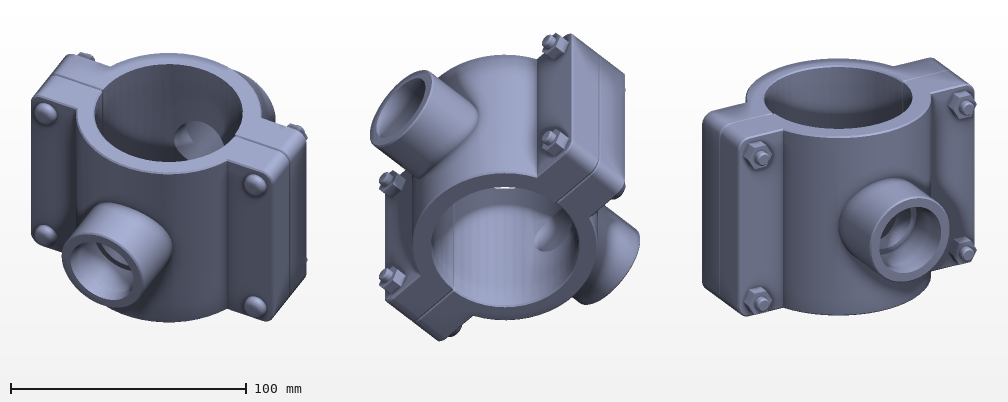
import cadquery as cq
import math

width = 116.0
length = 122.0
height = 84.0
edge_chamfer = 0.6
tolerance = 0.01

bore_radius = 31.5
barrel_radius = 39.4
mid_wall_radius = (bore_radius + barrel_radius) / 2
flange_thickness = 15.7
flange_corner_radius = 5.5

branch_radius = 39.4 / 2
port_radius = 25.0 / 2
socket_radius = 30.3 / 2
socket_floor_y = 40.0

ring_inset = 0.6
ring_inner_y = bore_radius + ring_inset
ring_outer_y = 37.2
ring_radius = socket_radius

bolt_x = 50.1
bolt_z = 34.2
head_radius = 10.0 / 2
head_height = 4.0
head_rounding = 3.0
nut_across_flats = 10.0
nut_across_corners = nut_across_flats / math.cos(math.pi / 6)
nut_height = 5.0
shank_radius = 6.0 / 2
shank_projection = 3.0

bolt_places = [(x, z) for x in (-bolt_x, bolt_x) for z in (-bolt_z, bolt_z)]


def cylinder_along_y(radius, start_y, end_y, x=0, z=0):
    """Cylinder parallel to Y between two Y positions."""
    solid = cq.Solid.makeCylinder(radius, end_y - start_y, cq.Vector(x, start_y, z), cq.Vector(0, 1, 0))
    return cq.Workplane(solid)


def cylinder_along_z(radius):
    """Full-height cylinder on the clamp axis."""
    return cq.Workplane("XY").circle(radius).extrude(height / 2, both=True)


def half_shell():
    """Half barrel with its two flanges on the +Y side of the parting plane, edges still sharp."""
    flanges = (
        cq.Workplane("XY")
        .box(width, 2 * flange_thickness, height)
        .edges("|Y")
        .fillet(flange_corner_radius)
    )
    positive_y = cq.Workplane("XY").box(width, barrel_radius, height).translate((0, barrel_radius / 2, 0))
    barrel = cylinder_along_z(barrel_radius)
    return barrel.union(flanges).intersect(positive_y).cut(cylinder_along_z(bore_radius))


def takes_chamfer(edge, chamfer_bore_rims):
    """True for the parting edges, the flange face outlines and the barrel rims."""
    box = edge.BoundingBox()
    if box.ymax < tolerance:
        return True
    if box.zlen < tolerance and edge.geomType() == "CIRCLE":
        is_bore_rim = abs(edge.radius() - bore_radius) < tolerance
        return chamfer_bore_rims or not is_bore_rim
    on_flange_face = box.ylen < tolerance and abs(box.ymin - flange_thickness) < tolerance
    is_barrel_root = box.xlen < tolerance and abs(box.xmin) < barrel_radius
    return on_flange_face and not is_barrel_root


def clamp_half(chamfer_bore_rims):
    """Complete half with its branch on the +Y side, without fasteners."""
    shell = half_shell()
    edges = [edge for edge in shell.edges().vals() if takes_chamfer(edge, chamfer_bore_rims)]
    shell = shell.newObject(edges).chamfer(edge_chamfer)
    tube = cylinder_along_y(branch_radius, 0, length / 2).faces(">Y").chamfer(edge_chamfer)
    tube = tube.cut(cylinder_along_z(mid_wall_radius))
    port = cylinder_along_y(port_radius, 0, length / 2)
    socket = cylinder_along_y(socket_radius, socket_floor_y, length / 2)
    return shell.union(tube).cut(port).cut(socket)


def bolt_head(x, z):
    """Domed head standing on the front flange face."""
    head = cylinder_along_y(head_radius, -flange_thickness - head_height, -flange_thickness, x, z)
    return head.faces("<Y").edges().fillet(head_rounding)


def nut_and_shank_end(x, z):
    """Hexagon nut on the rear flange face with the shank end standing out of it."""
    nut = (
        cq.Workplane("XZ", origin=(x, flange_thickness, z))
        .polygon(6, nut_across_corners)
        .extrude(-nut_height)
    )
    shank_end_y = flange_thickness + nut_height + shank_projection
    shank = cylinder_along_y(shank_radius, flange_thickness, shank_end_y, x, z)
    return nut.union(shank.faces(">Y").chamfer(edge_chamfer))


def front_half():
    body = clamp_half(chamfer_bore_rims=True).mirror("XZ")
    for x, z in bolt_places:
        body = body.union(bolt_head(x, z))
    return body


def ring_envelope():
    """Space that the sealing ring fills, its opening included."""
    return cylinder_along_y(ring_radius, ring_inner_y, ring_outer_y)


def rear_half():
    body = clamp_half(chamfer_bore_rims=False).cut(ring_envelope())
    for x, z in bolt_places:
        body = body.union(nut_and_shank_end(x, z))
    return body


def sealing_ring():
    return ring_envelope().cut(cylinder_along_y(port_radius, ring_inner_y, ring_outer_y))


front_clamp = front_half().solids()
rear_clamp = rear_half().solids()
port_ring = sealing_ring().solids()

result = cq.Compound.makeCompound([front_clamp.val(), rear_clamp.val(), port_ring.val()])